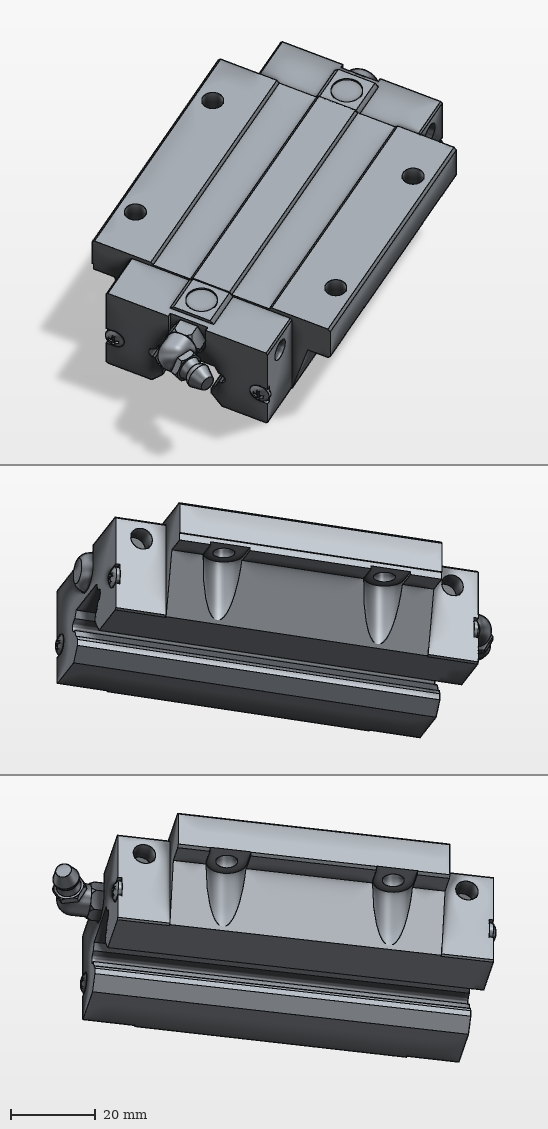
import cadquery as cq
import math


BLOCK_LENGTH = 65.2
BLOCK_WIDTH = 63.0
BLOCK_HEIGHT = 25.4
FLANGE_BOTTOM = 15.6
FLANGE_CHAMFER = 0.6
DATUM_RELIEF = 0.3
DATUM_RELIEF_TOP = 17.3
WEB_TOP_HALF_WIDTH = 25.5
CAP_WIDTH = 42.7

CHANNEL_OUTER = 16.0
CHANNEL_INNER = 4.8
CHANNEL_DEPTH = 0.6
CHANNEL_DRAFT = 0.6

CAP_END = 42.6
SEAL_END = 45.1
CAP_HEIGHT = 24.3
CAP_CHAMFER = 0.4
CAP_STRIP_HEIGHT = 25.1
CAP_STRIP_HALF_WIDTH = 4.8
CAP_STRIP_DRAFT = 0.9

HOLE_X = 26.5
HOLE_Y = 20.0
HOLE_DIAMETER = 5.2
RELIEF_DIAMETER = 9.8
RELIEF_TOP = 16.3

PORT_Z = 19.4
TOP_PORT_Y = 37.5
TOP_PORT_DIAMETER = 7.5
TOP_PORT_DEPTH = 0.4
SIDE_PORT_Y = 38.7
SIDE_PORT_DIAMETER = 5.4
SIDE_PORT_DEPTH = 5.3

RECESS_DEPTH = 1.0
RECESS_FLOOR = SEAL_END - RECESS_DEPTH
PORT_RECESS_RADIUS = 4.9

SCREW_X = 19.1
SCREW_Z = 9.4
SCREW_RADIUS = 2.5
SCREW_RIM = 0.9
SCREW_HEIGHT = 2.0
CROSS_LENGTH = 2.7
CROSS_WIDTH = 0.7
CROSS_DEPTH = 0.8

PLUG_RADIUS = 4.7
PLUG_RIM = 0.2
PLUG_SHOULDER = (4.4, 1.9)
PLUG_FACE_RADIUS = 3.0
PLUG_END = 47.3

FITTING_HEX_FLATS = 7.9
FITTING_HEX_END = 47.9
HEX_TAPER = 0.4
FITTING_HEX_TAPER_LENGTH = 0.9
ELBOW_RADIUS = 3.9
ELBOW_Y = 51.6
NIPPLE_ANGLE = 22.0
NIPPLE_HEX_FLATS = 6.9
NIPPLE_HEX_START = 3.5
NIPPLE_HEX_END = 5.3
NIPPLE_HEX_TAPER_LENGTH = 0.4
NECK_START_RADIUS = 2.9
NECK_RADIUS = 2.4
NECK_END = 7.1
BULB_ENTRY = (2.9, 7.8)
BULB_RADIUS = 3.2
BULB_AT = 8.7
TIP_RADIUS = 1.9
TIP_END = 11.9

SLOT_LOWER = [(9.2, 0), (6.4, 3.3), (6.4, 4.8), (6.9, 5.9), (7.6, 6.2), (8.4, 8.1), (9.1, 8.1)]
SLOT_BULGE = (10.1, 9.5)
SLOT_UPPER = [(9.1, 10.8), (8.3, 11.1), (7.4, 12.9)]

ENDS = (-1, 1)
SIDES = (-1, 1)


def extrude_y(sketch, start, end):
    """Extrude a sketch made in the XZ plane between two Y positions."""
    return sketch.extrude(start - end).translate((0, start, 0))


def revolve_y(profile):
    """Revolve a (radius, y) half-profile workplane about the Y axis."""
    return profile.close().revolve(360, (0, 0, 0), (0, 1, 0))


def steel_block():
    half = BLOCK_WIDTH / 2
    outline = (
        cq.Workplane("XZ")
        .moveTo(-CAP_WIDTH / 2, 0)
        .lineTo(CAP_WIDTH / 2, 0)
        .lineTo(WEB_TOP_HALF_WIDTH, FLANGE_BOTTOM)
        .lineTo(half - FLANGE_CHAMFER, FLANGE_BOTTOM)
        .lineTo(half, FLANGE_BOTTOM + FLANGE_CHAMFER)
        .lineTo(half, BLOCK_HEIGHT - FLANGE_CHAMFER)
        .lineTo(half - FLANGE_CHAMFER, BLOCK_HEIGHT)
        .lineTo(FLANGE_CHAMFER - half, BLOCK_HEIGHT)
        .lineTo(-half, BLOCK_HEIGHT - FLANGE_CHAMFER)
        .lineTo(-half, DATUM_RELIEF_TOP)
        .lineTo(DATUM_RELIEF - half, DATUM_RELIEF_TOP)
        .lineTo(DATUM_RELIEF - half, FLANGE_BOTTOM)
        .lineTo(-WEB_TOP_HALF_WIDTH, FLANGE_BOTTOM)
        .close()
    )
    block = extrude_y(outline, -BLOCK_LENGTH / 2, BLOCK_LENGTH / 2)
    channel_floor = BLOCK_HEIGHT - CHANNEL_DEPTH
    for side in SIDES:
        channel = cq.Workplane("XZ").polyline([
            (side * CHANNEL_INNER, BLOCK_HEIGHT),
            (side * (CHANNEL_INNER + CHANNEL_DRAFT), channel_floor),
            (side * (CHANNEL_OUTER - CHANNEL_DRAFT), channel_floor),
            (side * CHANNEL_OUTER, BLOCK_HEIGHT),
        ]).close()
        block = block.cut(extrude_y(channel, -BLOCK_LENGTH / 2, BLOCK_LENGTH / 2))
    return block


def mounting_hole_tools():
    """Through holes with bolt-head slots below that open to the flange sides."""
    places = cq.Workplane("XY").rect(2 * HOLE_X, 2 * HOLE_Y, forConstruction=True).vertices()
    holes = places.circle(HOLE_DIAMETER / 2).extrude(BLOCK_HEIGHT)
    reliefs = places.circle(RELIEF_DIAMETER / 2).extrude(RELIEF_TOP)
    tools = holes.union(reliefs)
    run_out = BLOCK_WIDTH / 2 - HOLE_X
    for side in SIDES:
        for end in ENDS:
            slot = (
                cq.Workplane("XY")
                .center(side * (HOLE_X + run_out / 2), end * HOLE_Y)
                .rect(run_out, RELIEF_DIAMETER)
                .extrude(RELIEF_TOP)
            )
            tools = tools.union(slot)
    return tools


def end_caps():
    """Caps and seal plates of both ends as one bar running through the block."""
    bar = (
        cq.Workplane("XY")
        .box(CAP_WIDTH, 2 * SEAL_END, CAP_HEIGHT, centered=(True, True, False))
        .edges("|Y")
        .chamfer(CAP_CHAMFER)
    )
    strip_foot = CAP_STRIP_HALF_WIDTH + CAP_STRIP_DRAFT
    strip = cq.Workplane("XZ").polyline([
        (-strip_foot, CAP_HEIGHT),
        (-CAP_STRIP_HALF_WIDTH, CAP_STRIP_HEIGHT),
        (CAP_STRIP_HALF_WIDTH, CAP_STRIP_HEIGHT),
        (strip_foot, CAP_HEIGHT),
    ]).close()
    return bar.union(extrude_y(strip, -CAP_END, CAP_END))


def cap_port_tools():
    tools = (
        cq.Workplane("XY")
        .workplane(offset=CAP_STRIP_HEIGHT - TOP_PORT_DEPTH)
        .pushPoints([(0, end * TOP_PORT_Y) for end in ENDS])
        .circle(TOP_PORT_DIAMETER / 2)
        .extrude(TOP_PORT_DEPTH)
    )
    right_floor = CAP_WIDTH / 2 - SIDE_PORT_DEPTH
    for start in (-CAP_WIDTH / 2, right_floor):
        side_ports = (
            cq.Workplane("YZ")
            .workplane(offset=start)
            .pushPoints([(end * SIDE_PORT_Y, PORT_Z) for end in ENDS])
            .circle(SIDE_PORT_DIAMETER / 2)
            .extrude(SIDE_PORT_DEPTH)
        )
        tools = tools.union(side_ports)
    return tools


def rail_slot():
    """Rail clearance, running the full length and symmetric about X = 0."""
    slot = cq.Workplane("XZ").polyline(SLOT_LOWER)
    slot = slot.threePointArc(SLOT_BULGE, SLOT_UPPER[0])
    for x, z in SLOT_UPPER[1:]:
        slot = slot.lineTo(x, z)
    for x, z in reversed(SLOT_UPPER):
        slot = slot.lineTo(-x, z)
    bulge_x, bulge_z = SLOT_BULGE
    groove_x, groove_z = SLOT_LOWER[-1]
    slot = slot.threePointArc((-bulge_x, bulge_z), (-groove_x, groove_z))
    for x, z in reversed(SLOT_LOWER[:-1]):
        slot = slot.lineTo(-x, z)
    return extrude_y(slot.close(), -SEAL_END, SEAL_END)


def open_recess(x, z, radius, open_x, open_z):
    """Round recess in the +Y seal plate, run out straight towards one edge."""
    pocket = extrude_y(cq.Workplane("XZ").center(x, z).circle(radius), RECESS_FLOOR, SEAL_END)
    run_out = (
        cq.Workplane("XZ")
        .center(x + open_x / 2, z + open_z / 2)
        .rect(abs(open_x) or 2 * radius, abs(open_z) or 2 * radius)
    )
    return pocket.union(extrude_y(run_out, RECESS_FLOOR, SEAL_END))


def seal_recess_tools():
    tools = open_recess(0, PORT_Z, PORT_RECESS_RADIUS, 0, CAP_HEIGHT - PORT_Z)
    for side in SIDES:
        edge_run = side * (CAP_WIDTH / 2 - SCREW_X)
        tools = tools.union(open_recess(side * SCREW_X, SCREW_Z, SCREW_RADIUS, edge_run, 0))
    return tools.union(tools.mirror("XZ"))


def screw_head():
    """Domed cross-recess head seated on Y = 0 and facing +Y."""
    rise = SCREW_HEIGHT - SCREW_RIM
    dome_radius = (SCREW_RADIUS**2 + rise**2) / (2 * rise)
    shoulder = math.sqrt(dome_radius**2 - (dome_radius - rise / 4)**2)
    head = revolve_y(
        cq.Workplane("XY")
        .lineTo(SCREW_RADIUS, 0)
        .lineTo(SCREW_RADIUS, SCREW_RIM)
        .threePointArc((shoulder, SCREW_HEIGHT - rise / 4), (0, SCREW_HEIGHT))
    )
    for arm in ((CROSS_LENGTH, CROSS_WIDTH), (CROSS_WIDTH, CROSS_LENGTH)):
        groove = cq.Workplane("XZ").rect(*arm)
        head = head.cut(extrude_y(groove, SCREW_HEIGHT - CROSS_DEPTH, SCREW_HEIGHT))
    return head


def seal_screws():
    screws = cq.Workplane("XY")
    for side in SIDES:
        screws = screws.union(screw_head().translate((side * SCREW_X, RECESS_FLOOR, SCREW_Z)))
    return screws.union(screws.mirror("XZ"))


def rear_plug():
    height = PLUG_END - RECESS_FLOOR
    plug = revolve_y(
        cq.Workplane("XY")
        .lineTo(PLUG_RADIUS, 0)
        .lineTo(PLUG_RADIUS, PLUG_RIM)
        .threePointArc(PLUG_SHOULDER, (PLUG_FACE_RADIUS, height))
        .lineTo(0, height)
    )
    return plug.translate((0, RECESS_FLOOR, PORT_Z))


def hexagon(across_flats, start, end, taper_length):
    """Hexagonal bar along +Y, flats up and down, corners tapered at the far end."""
    corner_radius = across_flats / 2 / math.cos(math.pi / 6)
    bar = extrude_y(cq.Workplane("XZ").polygon(6, 2 * corner_radius), start, end)
    corner_taper = revolve_y(
        cq.Workplane("XY")
        .moveTo(0, start)
        .lineTo(corner_radius, start)
        .lineTo(corner_radius, end - taper_length)
        .lineTo(corner_radius - HEX_TAPER, end)
        .lineTo(0, end)
    )
    return bar.intersect(corner_taper)


def grease_nipple():
    """Hex collar and bulbous tip along +Y, starting at the elbow centre."""
    collar = hexagon(NIPPLE_HEX_FLATS, NIPPLE_HEX_START, NIPPLE_HEX_END, NIPPLE_HEX_TAPER_LENGTH)
    stem = revolve_y(
        cq.Workplane("XY")
        .moveTo(0, NIPPLE_HEX_START)
        .lineTo(NECK_START_RADIUS, NIPPLE_HEX_START)
        .lineTo(NECK_START_RADIUS, NIPPLE_HEX_END)
        .lineTo(NECK_RADIUS, NECK_END)
        .threePointArc(BULB_ENTRY, (BULB_RADIUS, BULB_AT))
        .lineTo(TIP_RADIUS, TIP_END)
        .lineTo(0, TIP_END)
    )
    return stem.union(collar)


def grease_fitting():
    base = hexagon(FITTING_HEX_FLATS, RECESS_FLOOR, FITTING_HEX_END, FITTING_HEX_TAPER_LENGTH)
    base = base.mirror("XZ")
    barrel = extrude_y(cq.Workplane("XZ").circle(ELBOW_RADIUS), -ELBOW_Y, -RECESS_FLOOR)
    elbow = cq.Workplane("XY").sphere(ELBOW_RADIUS).translate((0, -ELBOW_Y, 0))
    nipple = (
        grease_nipple()
        .rotate((0, 0, 0), (0, 0, 1), -90 - NIPPLE_ANGLE)
        .translate((0, -ELBOW_Y, 0))
    )
    return base.union(barrel).union(elbow).union(nipple).translate((0, 0, PORT_Z))


carriage = (
    steel_block()
    .cut(mounting_hole_tools())
    .union(end_caps())
    .cut(rail_slot())
    .cut(cap_port_tools())
    .cut(seal_recess_tools())
)
result = carriage.union(seal_screws()).union(rear_plug()).union(grease_fitting())